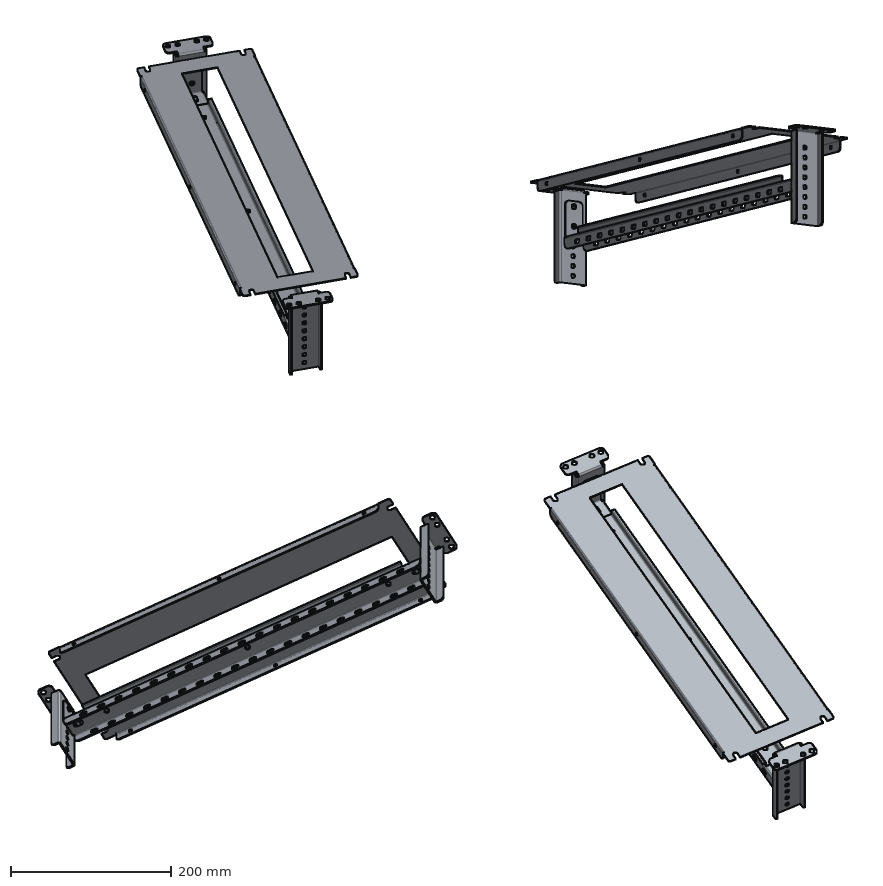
import cadquery as cq

SHEET = 2.0
BEND_IN = 0.5
BEND_OUT = BEND_IN + SHEET
HOLE_PITCH = 12.5

FRAME_OFFSET_Y = 0.4

PANEL_SHEET = 1.5
PANEL_LENGTH = 485.0
PANEL_WIDTH = 149.6
PANEL_CORNER = 3.0
WINDOW_LENGTH = 435.0
WINDOW_WIDTH = 46.0
PANEL_EDGE_LENGTH = 452.0
PANEL_EDGE_DEPTH = 15.0
PANEL_EDGE_CORNER = 5.0
PANEL_HOLE = 4.3
PANEL_HOLE_SPACING = 206.0
PANEL_HOLE_Z = -7.5
NOTCH_SPACING = 124.0
NOTCH_WIDTH = 6.0
NOTCH_DEPTH = 10.0

RAIL_LENGTH = 452.0
RAIL_WIDTH = 35.0
RAIL_OPENING = 27.0
RAIL_HEIGHT = 7.5
RAIL_SHEET = 1.0
RAIL_BEND_IN = 0.8
RAIL_BEND_OUT = RAIL_BEND_IN + RAIL_SHEET
FIXING_HOLE = 6.3
FIXING_SPACING = 200.0

OVERALL_LENGTH = 565.0
LEG_HEIGHT = 120.0
LEG_WIDTH = 41.0
LEG_DEPTH = 12.0
LEG_INNER_X = 255.5
LEG_CORNER = 5.0
LEG_HOLE = 5.3
LEG_HOLE_COUNT = 8
LEG_HOLE_BOTTOM_Z = -110.0
LEG_TOP_GAP = 1.0
PLATE_WIDTH = 61.5
PLATE_INNER_X = 262.8
PLATE_CORNER = 5.0
PLATE_HOLE = 6.3
PLATE_HOLE_X = 276.0
NECK_WIDTH = 34.0

CHANNEL_TOP_Z = -62.0
CHANNEL_BOTTOM_Z = -78.5
CHANNEL_WIDTH = 30.5
CHANNEL_LENGTH = 2 * (LEG_INNER_X - BEND_OUT)
CHANNEL_CORNER = 8.0
SLOT_COUNT = 19
SLOT_PITCH = 25.0
SLOT_LENGTH = 9.5
SLOT_WIDTH = 5.5
SLOT_Z = -72.0
END_SLOT_LENGTH = 12.6
END_SLOT_WIDTH = 6.5
END_SLOT_X = 240.3
END_SLOT_CENTERS = [(-END_SLOT_X, 0), (END_SLOT_X, 0)]
TAB_WIDTH = 26.0
TAB_TOP_Z = -15.5
TAB_CORNER = 6.0
TAB_ROOT_OVERLAP = 2.5
TAB_HOLE = 6.5
TAB_HOLE_ZS = (-22.5, -47.5)


def block(x_range, y_range, z_range):
    """Box between the given (low, high) limits."""
    spans = (x_range, y_range, z_range)
    sizes = [high - low for low, high in spans]
    corner = [low for low, high in spans]
    return cq.Workplane("XY").box(*sizes, centered=False).translate(tuple(corner))


def centered_span(length):
    return (-length / 2, length / 2)


def rods_along_x(diameter, yz_points, x_range):
    """Cylinders parallel to X, used to cut holes."""
    start, end = x_range
    plane = cq.Workplane("YZ", origin=(start, 0, 0))
    return plane.pushPoints(yz_points).circle(diameter / 2).extrude(end - start)


def rods_along_y(diameter, xz_points, width):
    plane = cq.Workplane("XZ")
    return plane.pushPoints(xz_points).circle(diameter / 2).extrude(width, both=True)


def rods_along_z(diameter, xy_points):
    plane = cq.Workplane("XY")
    return plane.pushPoints(xy_points).circle(diameter / 2).extrude(-LEG_HEIGHT)


def make_downturned_channel(length, width, top_z, bottom_z, corner, sheet):
    """Channel along X, its web on top, its side walls down and their lower ends rounded."""
    outer = block(centered_span(length), centered_span(width), (bottom_z, top_z))
    outer = outer.edges("|Y and <Z").fillet(corner)
    outer = outer.edges("|X and >Z").fillet(BEND_IN + sheet)
    inner = block(centered_span(length), centered_span(width - 2 * sheet), (bottom_z, top_z - sheet))
    inner = inner.edges("|X and >Z").fillet(BEND_IN)
    return outer.cut(inner)


def make_panel():
    """Flat panel with its long edges turned down between the end strips."""
    panel = make_downturned_channel(
        PANEL_EDGE_LENGTH, PANEL_WIDTH, 0, -PANEL_EDGE_DEPTH, PANEL_EDGE_CORNER, PANEL_SHEET
    )
    for side in (-1, 1):
        end_x = side * PANEL_LENGTH / 2
        end_strip = block(
            sorted((side * PANEL_EDGE_LENGTH / 2, end_x)), centered_span(PANEL_WIDTH), (-PANEL_SHEET, 0)
        )
        end_strip = end_strip.edges("|Z").edges(">X" if side > 0 else "<X").fillet(PANEL_CORNER)
        panel = panel.union(end_strip)
    window = block(centered_span(WINDOW_LENGTH), centered_span(WINDOW_WIDTH), (-PANEL_SHEET, 0))
    panel = panel.cut(window)
    notch_points = [
        (x, y)
        for x in centered_span(PANEL_LENGTH)
        for y in centered_span(NOTCH_SPACING)
    ]
    notches = cq.Workplane("XY").pushPoints(notch_points).slot2D(2 * NOTCH_DEPTH, NOTCH_WIDTH)
    panel = panel.cut(notches.extrude(-PANEL_SHEET))
    edge_holes = [(x, PANEL_HOLE_Z) for x in (-PANEL_HOLE_SPACING, 0, PANEL_HOLE_SPACING)]
    return panel.cut(rods_along_y(PANEL_HOLE, edge_holes, PANEL_WIDTH))


def fixing_holes():
    """Holes that join the rail to the cross channel."""
    return rods_along_z(FIXING_HOLE, [(x, 0) for x in (-FIXING_SPACING, 0, FIXING_SPACING)])


def make_rail():
    """Top-hat rail: a trough with a brim along each rim."""
    bottom = CHANNEL_TOP_Z
    top = bottom + RAIL_HEIGHT
    length = centered_span(RAIL_LENGTH)
    inner_width = RAIL_OPENING - 2 * RAIL_SHEET
    trough = block(length, centered_span(RAIL_OPENING), (bottom, top))
    trough = trough.edges("|X and <Z").fillet(RAIL_BEND_OUT)
    brim = block(length, centered_span(RAIL_WIDTH), (top - RAIL_SHEET, top))
    rail = trough.union(brim)
    inside_corners = cq.selectors.BoxSelector(
        (-RAIL_LENGTH, -RAIL_OPENING / 2 - RAIL_SHEET / 2, top - 1.5 * RAIL_SHEET),
        (RAIL_LENGTH, RAIL_OPENING / 2 + RAIL_SHEET / 2, top - RAIL_SHEET / 2),
    )
    rail = rail.edges("|X").edges(inside_corners).fillet(RAIL_BEND_IN)
    hollow = block(length, centered_span(inner_width), (bottom + RAIL_SHEET, top))
    hollow = hollow.edges("|X and <Z").fillet(RAIL_BEND_IN)
    rail = rail.cut(hollow)
    mouth_edges = cq.selectors.BoxSelector(
        (-RAIL_LENGTH, -RAIL_OPENING / 2, top - RAIL_SHEET / 2),
        (RAIL_LENGTH, RAIL_OPENING / 2, top + RAIL_SHEET / 2),
    )
    rail = rail.edges("|X").edges(mouth_edges).fillet(RAIL_BEND_OUT)
    return rail.cut(fixing_holes())


def make_end_tab():
    """Tab folded up from the web at the -X end, lying against the leg."""
    outer_x = -LEG_INNER_X
    root_x = -CHANNEL_LENGTH / 2 + TAB_ROOT_OVERLAP
    web_bottom = CHANNEL_TOP_Z - SHEET
    tab = block((outer_x, root_x), centered_span(TAB_WIDTH), (web_bottom, TAB_TOP_Z))
    tab = tab.edges("|X and >Z").fillet(TAB_CORNER)
    tab = tab.edges("|Y and <Z and <X").fillet(BEND_OUT)
    behind = block((outer_x + SHEET, root_x), centered_span(TAB_WIDTH), (CHANNEL_TOP_Z, TAB_TOP_Z))
    behind = behind.edges("|Y and <Z and <X").fillet(BEND_IN)
    tab = tab.cut(behind)
    return tab.cut(rods_along_x(TAB_HOLE, [(0, z) for z in TAB_HOLE_ZS], (outer_x, root_x)))


def make_channel():
    """Slotted cross channel joining the two legs."""
    channel = make_downturned_channel(
        CHANNEL_LENGTH, CHANNEL_WIDTH, CHANNEL_TOP_Z, CHANNEL_BOTTOM_Z, CHANNEL_CORNER, SHEET
    )
    slots = cq.Workplane("XZ", origin=(0, 0, SLOT_Z)).rarray(SLOT_PITCH, 1, SLOT_COUNT, 1)
    channel = channel.cut(slots.slot2D(SLOT_LENGTH, SLOT_WIDTH).extrude(CHANNEL_WIDTH, both=True))
    end_slots = cq.Workplane("XY").pushPoints(END_SLOT_CENTERS)
    channel = channel.cut(end_slots.slot2D(END_SLOT_LENGTH, END_SLOT_WIDTH).extrude(CHANNEL_BOTTOM_Z))
    channel = channel.cut(fixing_holes())
    tab = make_end_tab()
    return channel.union(tab).union(tab.mirror("YZ"))


def make_leg():
    """Leg at the -X end, its side walls and fixing plate pointing outward."""
    inner_x = -LEG_INNER_X
    outer_x = inner_x - LEG_DEPTH
    top_z = -SHEET - LEG_TOP_GAP
    post = block((outer_x, inner_x), centered_span(LEG_WIDTH), (-LEG_HEIGHT, top_z))
    post = post.edges("|Y and <Z and <X").fillet(LEG_CORNER)
    post = post.edges("|Z and >X").fillet(BEND_OUT)
    hollow = block(
        (outer_x, inner_x - SHEET), centered_span(LEG_WIDTH - 2 * SHEET), (-LEG_HEIGHT, top_z)
    )
    post = post.cut(hollow.edges("|Z and >X").fillet(BEND_IN))
    post_holes = [(0, LEG_HOLE_BOTTOM_Z + i * HOLE_PITCH) for i in range(LEG_HOLE_COUNT)]
    post = post.cut(rods_along_x(LEG_HOLE, post_holes, (outer_x, inner_x)))

    neck = block((-PLATE_INNER_X, inner_x), centered_span(NECK_WIDTH), (top_z, 0))
    neck = neck.edges("|Y and >Z and >X").fillet(BEND_OUT)
    under = block((-PLATE_INNER_X, inner_x - SHEET), centered_span(NECK_WIDTH), (top_z, -SHEET))
    neck = neck.cut(under.edges("|Y and >Z and >X").fillet(BEND_IN))

    plate = block((-OVERALL_LENGTH / 2, -PLATE_INNER_X), centered_span(PLATE_WIDTH), (-SHEET, 0))
    plate = plate.edges("|Z").fillet(PLATE_CORNER)
    plate_holes = [(-PLATE_HOLE_X, side * n * HOLE_PITCH) for side in (-1, 1) for n in (1, 2)]
    plate = plate.cut(rods_along_z(PLATE_HOLE, plate_holes))
    return post.union(neck).union(plate)


def make_pins():
    """Pins as wide as the end slots, flush with both faces of the channel web."""
    plane = cq.Workplane("XY", origin=(0, 0, CHANNEL_TOP_Z)).pushPoints(END_SLOT_CENTERS)
    return plane.circle(END_SLOT_WIDTH / 2).extrude(-SHEET)


def place_frame_part(part):
    """Move a part made on the middle line to its place relative to the panel."""
    return part.translate((0, FRAME_OFFSET_Y, 0))


panel = make_panel()
rail = place_frame_part(make_rail())
channel = place_frame_part(make_channel())
left_leg = place_frame_part(make_leg())
right_leg = left_leg.mirror("YZ")
pins = place_frame_part(make_pins())

result = cq.Compound.makeCompound(
    [panel.val(), rail.val(), channel.val(), left_leg.val(), right_leg.val(), *pins.vals()]
)